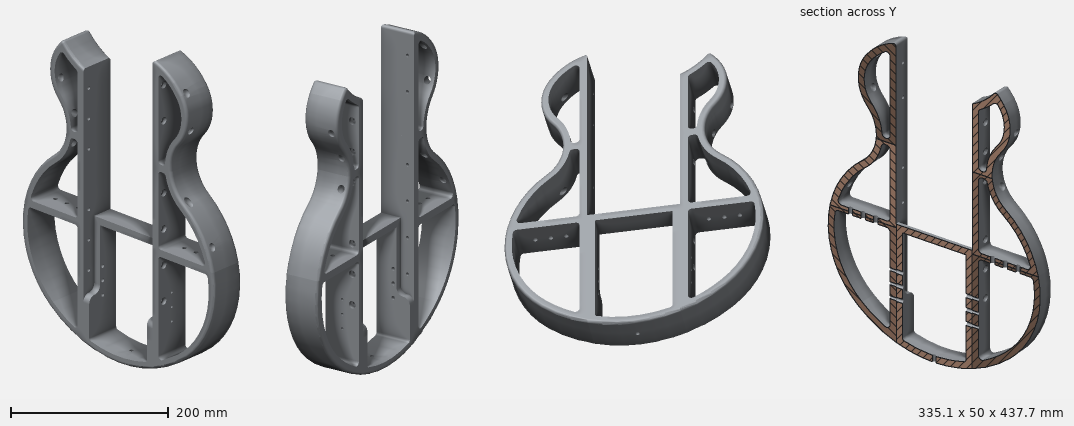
import cadquery as cq
import math


THICKNESS = 50.0
WALL = 10.0
DIVIDER = WALL / 2
EDGE_ROUND = 4.0
POCKET_ROUND = 5.0
REACH = 500.0

NECK_HALF_WIDTH = 60.0
RAIL_INNER = NECK_HALF_WIDTH + WALL
LOWER_SPLIT = 175.0
UPPER_SPLIT = 293.0

BODY_ARCS = [(186.0, 40.0), (134.3, 103.3), (54.4, -95.3), (56.4, 76.9)]
LOBE_TOP_RADIUS = 88.7
SHORT_HORN_TIP_X = 97.0
SCOOP_MIDDLE = (74.0, 397.8)
SCOOP_END_Z = 390.0

CENTRE_TOP = LOWER_SPLIT + DIVIDER
CENTRE_INNER = NECK_HALF_WIDTH - WALL
CENTRE_ROUND = 4.0
STEP_DEPTH = 20.0
STEP_RADIUS = STEP_DEPTH / 2
STEP_MIDDLE_Z = 77.0

SCREW_Y = 10.0
SCREW_DIAMETER = 4.75
HEAD_DIAMETER = 10.0
HEAD_DEPTH = 5.0
LONG_SIDE_SCREWS = [104.5 + 50.0 * step for step in (0, 1, 2, 3, 5, 6)]
SHORT_SIDE_SCREWS = [108.0 + 42.0 * step for step in (0, 1, 2, 4, 5, 6)]
LONG_SIDE_ACCESS = LONG_SIDE_SCREWS[2:]
SHORT_SIDE_ACCESS = SHORT_SIDE_SCREWS[3:]

MIDDLE_Y = THICKNESS / 2
JOINT_PITCH = 20.0
RAIL_JOINT_Z = [92.0 + JOINT_PITCH * step for step in (-1, 0, 1)]
DIVIDER_JOINT_X = [112.0 + JOINT_PITCH * step for step in (-1, 0, 1)]
CENTRE_JOINT_DIAMETER = 5.2
SIDE_JOINT_DIAMETER = 3.5
DIVIDER_JOINT_DIAMETER = 6.0
FLOOR_HOLE_DIAMETER = 5.2


def box(x0, x1, y0, y1, z0, z1):
    return cq.Workplane("XY").box(x1 - x0, y1 - y0, z1 - z0, centered=False).translate((x0, y0, z0))


def hole_x(x0, x1, y, z, diameter):
    return cq.Workplane("YZ", origin=(x0, y, z)).circle(diameter / 2).extrude(x1 - x0)


def hole_z(x, y, z0, z1, diameter):
    return cq.Workplane("XY", origin=(x, y, z0)).circle(diameter / 2).extrude(z1 - z0)


def arc_points(x, z, heading, bend, end_heading):
    """Middle and end point of an arc that starts at (x, z); headings are in radians from +X."""
    centre_x = x - bend * math.sin(heading)
    centre_z = z + bend * math.cos(heading)
    points = []
    for angle in ((heading + end_heading) / 2, end_heading):
        points.append((centre_x + bend * math.sin(angle), centre_z - bend * math.cos(angle)))
    return points


def side_outline(short_horn):
    """Half of the body outline on the +X side, in the front plane, and the point of its horn."""
    path = cq.Workplane("XZ").moveTo(0, 0)
    x, z, heading = 0.0, 0.0, 0.0
    for radius, turn in BODY_ARCS:
        end_heading = heading + math.radians(turn)
        middle, end = arc_points(x, z, heading, math.copysign(radius, turn), end_heading)
        path = path.threePointArc(middle, end)
        x, z = end
        heading = end_heading

    tip_x = SHORT_HORN_TIP_X if short_horn else NECK_HALF_WIDTH
    lobe_centre_x = x - LOBE_TOP_RADIUS * math.sin(heading)
    tip_heading = math.pi - math.asin((tip_x - lobe_centre_x) / LOBE_TOP_RADIUS)
    middle, tip = arc_points(x, z, heading, LOBE_TOP_RADIUS, tip_heading)
    path = path.threePointArc(middle, tip)
    if short_horn:
        path = path.threePointArc(SCOOP_MIDDLE, (NECK_HALF_WIDTH, SCOOP_END_Z))
    path = path.lineTo(NECK_HALF_WIDTH, CENTRE_TOP).lineTo(0, CENTRE_TOP).close()
    return path, tip


def side_blank(short_horn):
    """Solid half body with its outer edges and horn tip rounded."""
    path, tip = side_outline(short_horn)
    blank = path.extrude(-THICKNESS)
    near_tip = cq.selectors.BoxSelector(
        (tip[0] - EDGE_ROUND, 0, tip[1] - EDGE_ROUND),
        (tip[0] + EDGE_ROUND, THICKNESS, tip[1] + EDGE_ROUND),
    )
    tip_edges = blank.edges("|Y").edges(near_tip).vals()
    rim_edges = blank.faces("<Y or >Y").edges("%CIRCLE").vals()
    return blank.newObject(tip_edges + rim_edges).fillet(EDGE_ROUND)


def side_pocket(short_horn, z0, z1):
    """Opening between outer wall, rail and dividers, with its corners rounded."""
    outline = side_outline(short_horn)[0]
    opening = outline.offset2D(-WALL).extrude(-THICKNESS)
    opening = opening.intersect(box(RAIL_INNER, REACH, 0, THICKNESS, z0, z1))
    return opening.edges("|Y").edges("<X or <Z or >Z").fillet(POCKET_ROUND)


def neck_screw_hole(z):
    """Screw hole through the rail with its head recess on the pocket side."""
    shank = hole_x(NECK_HALF_WIDTH, RAIL_INNER, SCREW_Y, z, SCREW_DIAMETER)
    head = hole_x(RAIL_INNER - HEAD_DEPTH, RAIL_INNER, SCREW_Y, z, HEAD_DIAMETER)
    return shank.union(head)


def side_shell(blank, short_horn, z0, z1):
    """One shell of the +X column, between the heights z0 and z1."""
    pocket_z0 = z0 + DIVIDER if z0 > 0 else 0
    pocket_z1 = z1 - DIVIDER if z1 < REACH else REACH
    shell = blank.intersect(box(NECK_HALF_WIDTH, REACH, 0, THICKNESS, z0, z1))
    shell = shell.cut(side_pocket(short_horn, pocket_z0, pocket_z1))

    screws = SHORT_SIDE_SCREWS if short_horn else LONG_SIDE_SCREWS
    access = SHORT_SIDE_ACCESS if short_horn else LONG_SIDE_ACCESS
    for z in screws:
        if z0 < z < z1:
            shell = shell.cut(neck_screw_hole(z))
    for z in access:
        if z0 < z < z1:
            shell = shell.cut(hole_x(RAIL_INNER, REACH, SCREW_Y, z, HEAD_DIAMETER))
    for z in RAIL_JOINT_Z:
        if z0 < z < z1:
            shell = shell.cut(hole_x(NECK_HALF_WIDTH, RAIL_INNER, MIDDLE_Y, z, SIDE_JOINT_DIAMETER))
    for x in DIVIDER_JOINT_X:
        joint = hole_z(x, MIDDLE_Y, LOWER_SPLIT - DIVIDER, LOWER_SPLIT + DIVIDER, DIVIDER_JOINT_DIAMETER)
        shell = shell.cut(joint)
    return shell


def lower_shell(blank, short_horn):
    return side_shell(blank, short_horn, 0, LOWER_SPLIT)


def middle_shell(blank, short_horn):
    return side_shell(blank, short_horn, LOWER_SPLIT, UPPER_SPLIT)


def horn_shell(blank, short_horn):
    return side_shell(blank, short_horn, UPPER_SPLIT, REACH)


def centre_opening():
    """Window of the centre frame, with an arched floor one wall above the outline."""
    bottom_radius = BODY_ARCS[0][0]
    opening = box(-CENTRE_INNER, CENTRE_INNER, 0, THICKNESS, 0, CENTRE_TOP - WALL)
    arch = cq.Workplane("XZ").center(0, bottom_radius).circle(bottom_radius - WALL).extrude(-THICKNESS)
    return opening.intersect(arch).edges("|Y").edges("<Z").fillet(CENTRE_ROUND)


def front_step():
    """Recess across the front of the centre frame that ends in an S-shaped step on both rails."""
    profile = (
        cq.Workplane("YZ", origin=(-NECK_HALF_WIDTH, 0, 0))
        .moveTo(0, CENTRE_TOP)
        .lineTo(0, STEP_MIDDLE_Z - STEP_RADIUS)
        .radiusArc((STEP_RADIUS, STEP_MIDDLE_Z), STEP_RADIUS)
        .radiusArc((STEP_DEPTH, STEP_MIDDLE_Z + STEP_RADIUS), -STEP_RADIUS)
        .lineTo(STEP_DEPTH, CENTRE_TOP)
        .close()
    )
    return profile.extrude(2 * NECK_HALF_WIDTH)


def centre_frame(blank):
    """Frame between the two columns, with its bridge and rails set back from the front."""
    half = blank.intersect(box(0, NECK_HALF_WIDTH, 0, THICKNESS, 0, CENTRE_TOP))
    frame = half.union(half.mirror("YZ")).clean()
    frame = frame.cut(centre_opening()).cut(front_step())
    for z in RAIL_JOINT_Z:
        frame = frame.cut(hole_x(-NECK_HALF_WIDTH, NECK_HALF_WIDTH, MIDDLE_Y, z, CENTRE_JOINT_DIAMETER))
    return frame.cut(hole_z(0, MIDDLE_Y, 0, 2 * WALL, FLOOR_HOLE_DIAMETER))


long_blank = side_blank(False)
short_blank = side_blank(True)

bodies = [centre_frame(long_blank).val()]
for shell in (lower_shell, middle_shell, horn_shell):
    bodies.append(shell(long_blank, False).val())
    bodies.append(shell(short_blank, True).mirror("YZ").val())

result = cq.Compound.makeCompound(bodies)